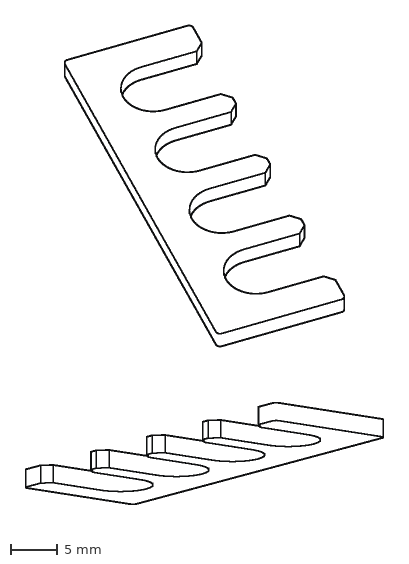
import cadquery as cq

length = 45.0
width = 15.0
thickness = 2.0
corner_radius = 0.5

slot_count = 4
slot_pitch = 10.0
slot_width = 7.0
slot_depth = 11.0
mouth_chamfer = 1.0

slot_radius = slot_width / 2
open_edge_y = width / 2
arc_center_y = open_edge_y - slot_depth + slot_radius


def make_plate():
    plate = cq.Workplane("XY").box(length, width, thickness)
    return plate.edges("|Z").fillet(corner_radius)


def make_slot(center_x):
    """Cutter for one slot with a chamfered mouth."""
    left = center_x - slot_radius
    right = center_x + slot_radius
    chamfer_y = open_edge_y - mouth_chamfer
    return (
        cq.Workplane("XY", origin=(0, 0, -thickness / 2))
        .moveTo(left - mouth_chamfer, open_edge_y)
        .lineTo(left, chamfer_y)
        .lineTo(left, arc_center_y)
        .threePointArc((center_x, arc_center_y - slot_radius), (right, arc_center_y))
        .lineTo(right, chamfer_y)
        .lineTo(right + mouth_chamfer, open_edge_y)
        .close()
        .extrude(thickness)
    )


result = make_plate()
for index in range(slot_count):
    slot_x = (index - (slot_count - 1) / 2) * slot_pitch
    result = result.cut(make_slot(slot_x))